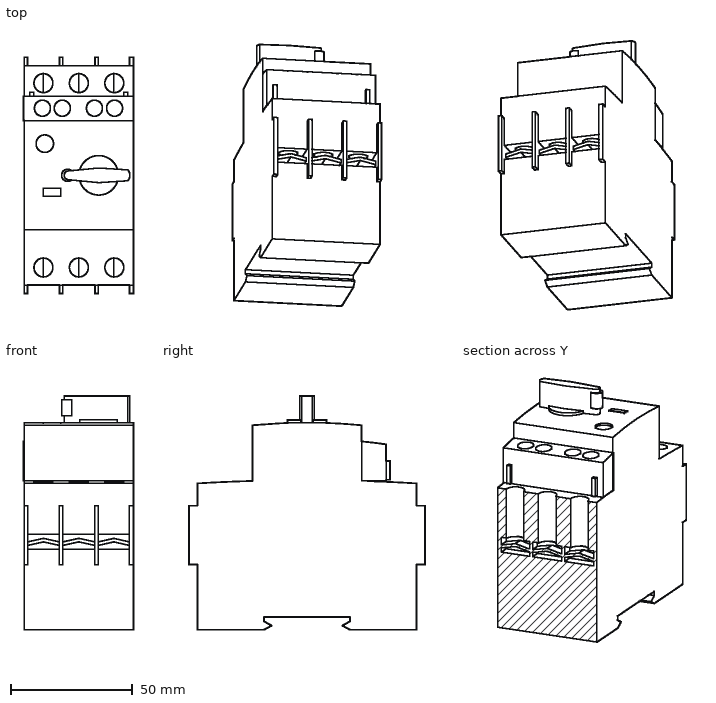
import cadquery as cq
import math

WIDTH = 45.0
LENGTH = 97.0
BODY_LENGTH = 90.0
SHOULDER_EDGE_Z = 60.1
SHOULDER_CROWN_Z = 61.5
TOWER_LENGTH = 44.8
TOWER_EDGE_Z = 84.0
TOWER_CROWN_Z = 85.1

SLOT_LENGTH = 35.2
SLOT_DEPTH = 5.2
SLOT_LIP_TOP_Z = 3.5
SLOT_LIP_REACH = 3.2

PITCH = 14.55
PHASES = (-PITCH, 0.0, PITCH)
SCREW_HOLE_DIAMETER = 7.8
SCREW_HOLE_Y = 37.8
FIN_THICKNESS = 1.5
LAST_FIN_THICKNESS = 1.7
FIN_BOTTOM_Z = 26.8
FIN_HEIGHT = 24.25
OPENING_BOTTOM_Z = 33.0
OPENING_TOP_Z = 39.2
OPENING_DEPTH = 11.6
CLAMP_SETBACK = 1.9
CLAMP_SIDE_Z = 34.6
CLAMP_RISE = 1.5
CLAMP_THICKNESS = 1.5

BUTTON_X = -14.0
BUTTON_Y = 13.0
BUTTON_DIAMETER = 7.2
BUTTON_DEPTH = 0.7
WINDOW_X = -11.1
WINDOW_Y = -7.0
WINDOW_WIDTH = 7.2
WINDOW_LENGTH = 3.3
WINDOW_DEPTH = 1.0

HANDLE_X = 8.1
DIAL_DIAMETER = 16.2
DIAL_TOP_Z = 86.1
HANDLE_TOP_Z = 96.0
BLADE_HALF_WIDTH = 3.0
BLADE_NOSE_X = -6.0
BLADE_NOSE_HALF_WIDTH = 1.7
BLADE_NOSE_LENGTH = 1.3
BLADE_TAIL_X = 21.0
BLADE_TAIL_HALF_WIDTH = 2.2
BLADE_TAIL_LENGTH = 0.9
PIN_X = -4.6
PIN_DIAMETER = 5.0
PIN_BOTTOM_Z = 87.8
PIN_TOP_Z = 94.5

AUX_OVERHANG = 0.3
AUX_LENGTH = 10.1
AUX_DROP = 6.6
AUX_HOLE_DIAMETER = 6.6
AUX_HOLE_DEPTH = 5.8
AUX_HOLE_Y = 27.5
AUX_HOLE_XS = (-14.9, -6.8, 6.4, 14.6)
TAB_X = 19.3
TAB_WIDTH = 1.6
TAB_LENGTH = 1.65
TAB_BOTTOM_Z = 61.5
TAB_HEIGHT = 7.9

HALF_WIDTH = WIDTH / 2
BODY_END_Y = BODY_LENGTH / 2
TOWER_END_Y = TOWER_LENGTH / 2
FIN_REACH = (LENGTH - BODY_LENGTH) / 2


def crown_radius(half_length, rise):
    """Radius of an arc from half its chord and its rise."""
    return (half_length**2 + rise**2) / (2 * rise)


TOWER_TOP_RADIUS = crown_radius(TOWER_END_Y, TOWER_CROWN_Z - TOWER_EDGE_Z)
TOWER_TOP_CENTRE_Z = TOWER_CROWN_Z - TOWER_TOP_RADIUS
SHOULDER_RADIUS = crown_radius(BODY_END_Y, SHOULDER_CROWN_Z - SHOULDER_EDGE_Z)


def box(x_range, y_range, z_range):
    """Block between the two limits given for each axis."""
    (x0, x1), (y0, y1), (z0, z1) = x_range, y_range, z_range
    return cq.Workplane("XY").box(x1 - x0, y1 - y0, z1 - z0, centered=False).translate((x0, y0, z0))


def upright_cylinder(x, y, diameter, z0, z1):
    """Vertical cylinder from z0 up to z1."""
    return cq.Workplane("XY", origin=(x, y, z0)).circle(diameter / 2).extrude(z1 - z0)


def crowned_block(half_length, edge_z, top_z):
    """Full-width block whose top is an arc along Y."""
    return (
        cq.Workplane("YZ", origin=(-HALF_WIDTH, 0, 0))
        .moveTo(-half_length, 0)
        .lineTo(half_length, 0)
        .lineTo(half_length, edge_z)
        .threePointArc((0, top_z), (-half_length, edge_z))
        .close()
        .extrude(WIDTH)
    )


def rail_slot():
    """Slot along X with a pointed lip on each side."""
    half = SLOT_LENGTH / 2
    tip = half - SLOT_LIP_REACH
    tip_z = SLOT_LIP_TOP_Z / 2
    outline = [
        (-half, 0),
        (-tip, tip_z),
        (-half, SLOT_LIP_TOP_Z),
        (-half, SLOT_DEPTH),
        (half, SLOT_DEPTH),
        (half, SLOT_LIP_TOP_Z),
        (tip, tip_z),
        (half, 0),
    ]
    return cq.Workplane("YZ", origin=(-HALF_WIDTH, 0, 0)).polyline(outline).close().extrude(WIDTH)


def fin_ranges():
    """X limits of the four fins: the outer two are flush with the sides."""
    inner = [(x - FIN_THICKNESS / 2, x + FIN_THICKNESS / 2) for x in (-PITCH / 2, PITCH / 2)]
    first = (-HALF_WIDTH, -HALF_WIDTH + FIN_THICKNESS)
    last = (HALF_WIDTH - LAST_FIN_THICKNESS, HALF_WIDTH)
    return [first, *inner, last]


def fins():
    """Insulating fins on the front end."""
    end = cq.Workplane("XY")
    for x_range in fin_ranges():
        fin = box(
            x_range,
            (-BODY_END_Y - FIN_REACH, -BODY_END_Y),
            (FIN_BOTTOM_Z, FIN_BOTTOM_Z + FIN_HEIGHT),
        )
        end = end.add(fin)
    return end.combine()


def clamp_bar(x0, x1):
    """Ridged bar that crosses a wire opening below the screw hole."""
    middle = (x0 + x1) / 2
    top_z = CLAMP_SIDE_Z + CLAMP_THICKNESS
    outline = [
        (x0, CLAMP_SIDE_Z),
        (middle, CLAMP_SIDE_Z + CLAMP_RISE),
        (x1, CLAMP_SIDE_Z),
        (x1, top_z),
        (middle, top_z + CLAMP_RISE),
        (x0, top_z),
    ]
    start_y = -BODY_END_Y + CLAMP_SETBACK
    return (
        cq.Workplane("XZ", origin=(0, start_y, 0))
        .polyline(outline)
        .close()
        .extrude(CLAMP_SETBACK - OPENING_DEPTH)
    )


def terminal_cavities():
    """Screw holes and wire openings of the front end, less the clamp bars."""
    cavities = cq.Workplane("XY")
    fin_pairs = zip(fin_ranges(), fin_ranges()[1:])
    for screw_x, (left_fin, right_fin) in zip(PHASES, fin_pairs):
        x0 = left_fin[1]
        x1 = right_fin[0]
        opening = box(
            (x0, x1),
            (-BODY_END_Y, -BODY_END_Y + OPENING_DEPTH),
            (OPENING_BOTTOM_Z, OPENING_TOP_Z),
        )
        hole = upright_cylinder(
            screw_x, -SCREW_HOLE_Y, SCREW_HOLE_DIAMETER, OPENING_TOP_Z, SHOULDER_CROWN_Z
        )
        cavities = cavities.add(opening.union(hole).cut(clamp_bar(x0, x1)))
    return cavities.combine()


def crown_z(radius, top_z, y):
    """Height at y of a crowned top that peaks at top_z on the mid-plane."""
    return top_z - radius + math.sqrt(radius**2 - y**2)


def tower_top_z(y):
    """Height of the tower's crowned top at y."""
    return crown_z(TOWER_TOP_RADIUS, TOWER_CROWN_Z, y)


def tower_recesses():
    """Shallow round and rectangular recesses in the tower top."""
    button = upright_cylinder(
        BUTTON_X, BUTTON_Y, BUTTON_DIAMETER, tower_top_z(BUTTON_Y) - BUTTON_DEPTH, TOWER_CROWN_Z
    )
    window = box(
        (WINDOW_X - WINDOW_WIDTH / 2, WINDOW_X + WINDOW_WIDTH / 2),
        (WINDOW_Y - WINDOW_LENGTH / 2, WINDOW_Y + WINDOW_LENGTH / 2),
        (tower_top_z(WINDOW_Y) - WINDOW_DEPTH, TOWER_CROWN_Z),
    )
    return button.union(window)


def rotary_handle():
    """Dial, tapered blade and the pin round the blade's nose."""
    base_z = TOWER_EDGE_Z
    dial = upright_cylinder(HANDLE_X, 0, DIAL_DIAMETER, base_z, DIAL_TOP_Z)
    pin = upright_cylinder(PIN_X, 0, PIN_DIAMETER, PIN_BOTTOM_Z, PIN_TOP_Z)
    nose_x = BLADE_NOSE_X + BLADE_NOSE_LENGTH
    tail_x = BLADE_TAIL_X - BLADE_TAIL_LENGTH
    blade = (
        cq.Workplane("XY", origin=(0, 0, base_z))
        .moveTo(nose_x, -BLADE_NOSE_HALF_WIDTH)
        .lineTo(HANDLE_X, -BLADE_HALF_WIDTH)
        .lineTo(tail_x, -BLADE_TAIL_HALF_WIDTH)
        .threePointArc((BLADE_TAIL_X, 0), (tail_x, BLADE_TAIL_HALF_WIDTH))
        .lineTo(HANDLE_X, BLADE_HALF_WIDTH)
        .lineTo(nose_x, BLADE_NOSE_HALF_WIDTH)
        .threePointArc((BLADE_NOSE_X, 0), (nose_x, -BLADE_NOSE_HALF_WIDTH))
        .close()
        .extrude(HANDLE_TOP_Z - base_z)
    )
    return dial.union(blade).union(pin)


def make_housing():
    """Circuit breaker housing with its terminals and handle."""
    body = crowned_block(BODY_END_Y, SHOULDER_EDGE_Z, SHOULDER_CROWN_Z)
    body = body.union(crowned_block(TOWER_END_Y, TOWER_EDGE_Z, TOWER_CROWN_Z))
    body = body.cut(rail_slot())
    front_fins = fins()
    front_cavities = terminal_cavities()
    body = body.union(front_fins).union(front_fins.mirror("XZ"))
    body = body.cut(front_cavities).cut(front_cavities.mirror("XZ"))
    body = body.cut(tower_recesses())
    return body.union(rotary_handle())


def make_auxiliary_block():
    """Flat-bottomed switch block against the tower's rear face, touching the shoulder there."""
    bottom_z = crown_z(SHOULDER_RADIUS, SHOULDER_CROWN_Z, TOWER_END_Y)
    rear_y = TOWER_END_Y + AUX_LENGTH
    x_range = (-HALF_WIDTH - AUX_OVERHANG, HALF_WIDTH)
    block = box(x_range, (TOWER_END_Y, rear_y), (bottom_z, TOWER_CROWN_Z))
    crown = (
        cq.Workplane("YZ", origin=(x_range[0], 0, TOWER_TOP_CENTRE_Z))
        .circle(TOWER_TOP_RADIUS - AUX_DROP)
        .extrude(x_range[1] - x_range[0])
    )
    block = block.intersect(crown)
    for x in AUX_HOLE_XS:
        floor_z = tower_top_z(AUX_HOLE_Y) - AUX_DROP - AUX_HOLE_DEPTH
        block = block.cut(upright_cylinder(x, AUX_HOLE_Y, AUX_HOLE_DIAMETER, floor_z, TOWER_CROWN_Z))
    for x in (-TAB_X, TAB_X):
        tab = box(
            (x - TAB_WIDTH / 2, x + TAB_WIDTH / 2),
            (rear_y, rear_y + TAB_LENGTH),
            (TAB_BOTTOM_Z, TAB_BOTTOM_Z + TAB_HEIGHT),
        )
        block = block.union(tab)
    return block


housing = make_housing()
auxiliary_block = make_auxiliary_block()
result = cq.Compound.makeCompound([housing.solids().val(), auxiliary_block.solids().val()])